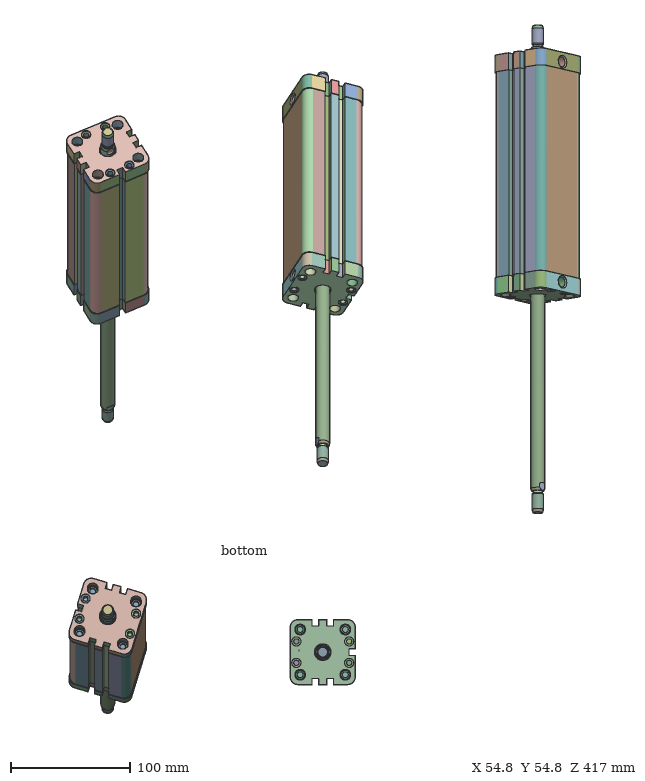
import cadquery as cq


body_width = 54.8
barrel_width = 53.8
cap_corner_radius = 6.6
barrel_corner_radius = 7.0
body_length = 205.0
cap_length = 14.5
barrel_length = body_length - 2 * cap_length

slot_width = 5.5
slot_depth_in_cap = 5.25
slot_floor = body_width / 2 - slot_depth_in_cap
slot_offset = 6.2

mount_pitch = 38.0
mount_bore_diameter = 9.0
mount_bore_depth = 10.0
mount_step_diameter = 7.5
mount_step_depth = 12.0
mount_pilot_diameter = 4.92
pin_hole_x = 22.2
pin_hole_y = 9.0
pin_bore_diameter = 7.7
pin_bore_depth = 1.0
pin_pilot_diameter = 4.4
pin_pilot_depth = 8.0

port_diameter = 8.57
port_mouth_diameter = 10.8
port_mouth_angle = 45.0
port_height = 8.2
piston_bore_diameter = 40.0

rod_diameter = 12.0
seal_recess_diameter = 14.0
seal_recess_depth = 2.0
upper_rod_reach = 26.0
stroke = 160.0
lower_rod_reach = upper_rod_reach + stroke

thread_diameter = 10.0
tip_diameter = 8.2
tip_length = 2.7
undercut_diameter = 7.9
undercut_start = 15.5
shoulder_start = 18.4
shoulder_end = 20.6
flat_end = 25.0
flat_spacing = 10.0
flat_end_radius = 1.2


def housing_block(width, corner_radius, length):
    """Rounded square block on z = 0, slotted on +Y and -Y (twice) and on +X (once)."""
    block = cq.Workplane("XY").rect(width, width).extrude(length).edges("|Z").fillet(corner_radius)
    slot_depth = width / 2 - slot_floor
    slot_centre = slot_floor + slot_depth / 2
    y_slots = [(x, y) for x in (-slot_offset, slot_offset) for y in (-slot_centre, slot_centre)]
    block = block.cut(
        cq.Workplane("XY").pushPoints(y_slots).rect(slot_width, slot_depth).extrude(length)
    )
    return block.cut(
        cq.Workplane("XY").center(slot_centre, 0).rect(slot_depth, slot_width).extrude(length)
    )


def round_cut(points, diameter, depth):
    """Cylinders that go down from the outer face of a cap."""
    return (
        cq.Workplane("XY", origin=(0, 0, cap_length))
        .pushPoints(points)
        .circle(diameter / 2)
        .extrude(-depth)
    )


def air_port():
    """Radial hole with a 45 degree countersink, from the -X side to the bore cylinder."""
    mouth = cq.Workplane("YZ", origin=(-body_width / 2, 0, cap_length - port_height))
    countersink_depth = (port_mouth_diameter - port_diameter) / 2
    countersink = mouth.circle(port_mouth_diameter / 2).extrude(countersink_depth, taper=port_mouth_angle)
    drill = (
        mouth
        .circle(port_diameter / 2)
        .extrude(body_width / 2)
        .union(countersink)
    )
    return drill.cut(cq.Workplane("XY").circle(piston_bore_diameter / 2).extrude(cap_length))


def end_cap():
    """Cap standing on z = 0 with its outer face up."""
    mounts = [(x * mount_pitch / 2, y * mount_pitch / 2) for x in (-1, 1) for y in (-1, 1)]
    pins = [(x * pin_hole_x, y * pin_hole_y) for x in (-1, 1) for y in (-1, 1)]
    cap = housing_block(body_width, cap_corner_radius, cap_length)
    cap = cap.cut(round_cut(mounts, mount_bore_diameter, mount_bore_depth))
    cap = cap.cut(round_cut(mounts, mount_step_diameter, mount_step_depth))
    cap = cap.cut(round_cut(mounts, mount_pilot_diameter, cap_length))
    cap = cap.cut(round_cut(pins, pin_bore_diameter, pin_bore_depth))
    cap = cap.cut(round_cut(pins, pin_pilot_diameter, pin_pilot_depth))
    cap = cap.cut(round_cut([(0, 0)], rod_diameter, cap_length))
    cap = cap.cut(round_cut([(0, 0)], seal_recess_diameter, seal_recess_depth))
    return cap.cut(air_port())


def wrench_flat(tip_z):
    """Cutter for the flat on the +X side, with a rounded run-out at its inner end."""
    depth = (rod_diameter - flat_spacing) / 2
    length = flat_end - shoulder_start
    return (
        cq.Workplane("XY")
        .box(2 * flat_end_radius + depth, rod_diameter, length, centered=(False, True, False))
        .edges("|Y and <X and <Z")
        .fillet(flat_end_radius)
        .translate((flat_spacing / 2, 0, tip_z - flat_end))
    )


def rod(reach):
    """Rod from the middle of the housing up to a threaded tip `reach` above the upper cap."""
    tip_z = body_length / 2 + reach
    rod_radius = rod_diameter / 2
    thread_radius = thread_diameter / 2
    undercut_radius = undercut_diameter / 2
    undercut_taper = thread_radius - undercut_radius
    profile = [
        (0, 0),
        (rod_radius, 0),
        (rod_radius, tip_z - shoulder_end),
        (thread_radius, tip_z - shoulder_start),
        (undercut_radius, tip_z - shoulder_start),
        (undercut_radius, tip_z - undercut_start - undercut_taper),
        (thread_radius, tip_z - undercut_start),
        (thread_radius, tip_z - tip_length),
        (tip_diameter / 2, tip_z),
        (0, tip_z),
    ]
    shaft = cq.Workplane("XZ").polyline(profile).close().revolve(360, (0, 0, 0), (0, 1, 0))
    flat = wrench_flat(tip_z)
    return shaft.cut(flat).cut(flat.mirror("YZ"))


barrel = housing_block(barrel_width, barrel_corner_radius, barrel_length)
barrel = barrel.translate((0, 0, -barrel_length / 2))
barrel = barrel.cut(cq.Workplane("XY").circle(rod_diameter / 2).extrude(barrel_length, both=True))
upper_cap = end_cap().translate((0, 0, barrel_length / 2))
lower_cap = upper_cap.mirror("XY")
upper_rod = rod(upper_rod_reach)
lower_rod = rod(lower_rod_reach).mirror("XY")

result = cq.Compound.makeCompound(
    [barrel.val(), upper_cap.val(), lower_cap.val(), upper_rod.val(), lower_rod.val()]
)